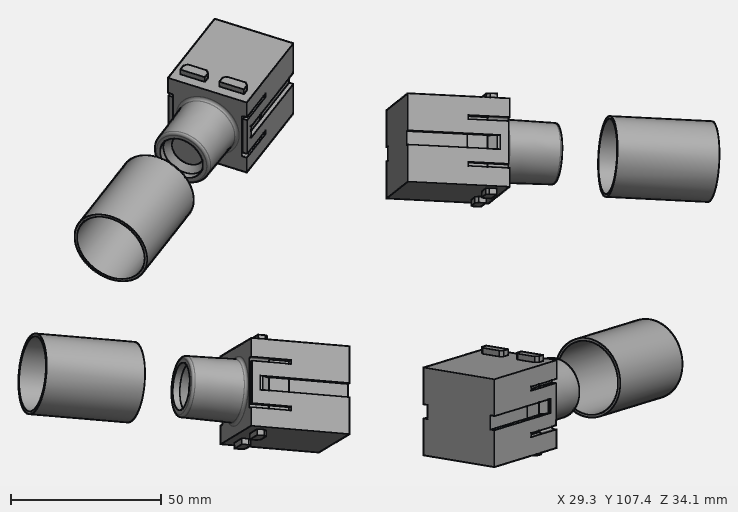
import cadquery as cq
import math

total_length = 107.4
rear_y = total_length / 2

block_width = 29.3
block_length = 35.0
block_height = 30.1
front_y = rear_y - block_length

boss_length = 19.4
boss_root_radius = 10.6
boss_tip_radius = 10.3
boss_root_fillet = 1.1
boss_tip_fillet = 1.0
tip_y = front_y - boss_length

bore_mouth_radius = 8.0
bore_mouth_depth = 2.5
bore_bottom_radius = 6.0
bore_cone_depth = 2.5

lug_height = 2.0
lug_length = 3.5
lug_chamfer = 1.1
lug_spacing = 14.5
top_lug_width = 9.1
bottom_lug_width = 7.2
lug_rear_y = front_y + 7.1

tab_length = 14.2
tab_thickness = 1.6
tab_setback = 0.3
slot_width = 1.4
latch_height = 17.3
tab_height = latch_height - 2 * slot_width
latch_root_y = front_y + tab_length

pocket_front_depth = 1.9
pocket_front_length = 7.1
pocket_corner_radius = 0.6
pocket_rear_depth = 2.3
pocket_step_y = front_y + pocket_front_length

groove_height = 4.8
groove_depth = 1.6
groove_front_y = front_y + 3.2
ramp_length = 2.9
ramp_crest_depth = 0.4

sleeve_length = 35.0
sleeve_outer_radius = 13.5
sleeve_wall = 1.0


def box_between(x_range, y_range, height):
    """Box spanning two X and two Y positions, centred on Z = 0."""
    width = x_range[1] - x_range[0]
    length = y_range[1] - y_range[0]
    return (
        cq.Workplane("XY")
        .box(width, length, height)
        .translate((sum(x_range) / 2, sum(y_range) / 2, 0))
    )


def make_boss():
    """Tapered boss with a flared root, a rounded tip and a blind bore."""
    cone_start_y = tip_y + bore_mouth_depth
    bore_bottom_y = cone_start_y + bore_cone_depth
    diagonal = math.sqrt(0.5)
    flare_mid = boss_root_fillet * (1 - diagonal)
    tip_mid = boss_tip_fillet * (1 - diagonal)
    profile = (
        cq.Workplane("ZY")
        .moveTo(0, front_y)
        .lineTo(boss_root_radius + boss_root_fillet, front_y)
        .threePointArc(
            (boss_root_radius + flare_mid, front_y - flare_mid),
            (boss_root_radius, front_y - boss_root_fillet),
        )
        .lineTo(boss_tip_radius, tip_y + boss_tip_fillet)
        .threePointArc(
            (boss_tip_radius - tip_mid, tip_y + tip_mid),
            (boss_tip_radius - boss_tip_fillet, tip_y),
        )
        .lineTo(bore_mouth_radius, tip_y)
        .lineTo(bore_mouth_radius, cone_start_y)
        .lineTo(bore_bottom_radius, bore_bottom_y)
        .lineTo(0, bore_bottom_y)
        .close()
    )
    return profile.revolve(360, (0, 0, 0), (0, 1, 0))


def make_lugs(width, base_z):
    """Pair of lugs whose rear corners are chamfered, rising from base_z."""
    return (
        cq.Workplane("XY", origin=(0, lug_rear_y - lug_length / 2, base_z))
        .pushPoints([(-lug_spacing / 2, 0), (lug_spacing / 2, 0)])
        .rect(width, lug_length)
        .extrude(lug_height)
        .edges("|Z and >Y")
        .chamfer(lug_chamfer)
    )


def make_latch_cut():
    """Everything removed from the -X side of the block around one latch tab."""
    side_x = -block_width / 2
    front_pocket = (
        box_between((side_x, side_x + pocket_front_depth), (front_y, pocket_step_y), latch_height)
        .edges("|Y and >X")
        .fillet(pocket_corner_radius)
    )
    rear_pocket = box_between(
        (side_x, side_x + pocket_rear_depth), (pocket_step_y, latch_root_y), latch_height
    )
    tab = box_between(
        (side_x, side_x + tab_thickness), (front_y + tab_setback, latch_root_y), tab_height
    )
    groove = box_between((side_x, side_x + groove_depth), (groove_front_y, rear_y), groove_height)
    ramp = (
        cq.Workplane("XY", origin=(0, 0, -groove_height / 2))
        .moveTo(side_x + pocket_front_depth, pocket_step_y)
        .lineTo(side_x + ramp_crest_depth, pocket_step_y - ramp_length)
        .lineTo(side_x + ramp_crest_depth, groove_front_y)
        .lineTo(side_x + pocket_front_depth, groove_front_y)
        .close()
        .extrude(groove_height)
    )
    return front_pocket.union(rear_pocket).cut(tab).union(groove).cut(ramp)


def make_housing():
    """Block with its boss, lugs and two latch tabs."""
    block = box_between((-block_width / 2, block_width / 2), (front_y, rear_y), block_height)
    top_lugs = make_lugs(top_lug_width, block_height / 2)
    bottom_lugs = make_lugs(bottom_lug_width, -block_height / 2 - lug_height)
    latch_cut = make_latch_cut()
    return (
        block.union(make_boss())
        .union(top_lugs)
        .union(bottom_lugs)
        .cut(latch_cut)
        .cut(latch_cut.mirror("YZ"))
    )


def make_sleeve():
    """Plain thin-walled tube on the housing axis."""
    return (
        cq.Workplane("XZ", origin=(0, -rear_y + sleeve_length, 0))
        .circle(sleeve_outer_radius)
        .circle(sleeve_outer_radius - sleeve_wall)
        .extrude(sleeve_length)
    )


housing = make_housing()
sleeve = make_sleeve()

result = cq.Compound.makeCompound([housing.val(), sleeve.val()])